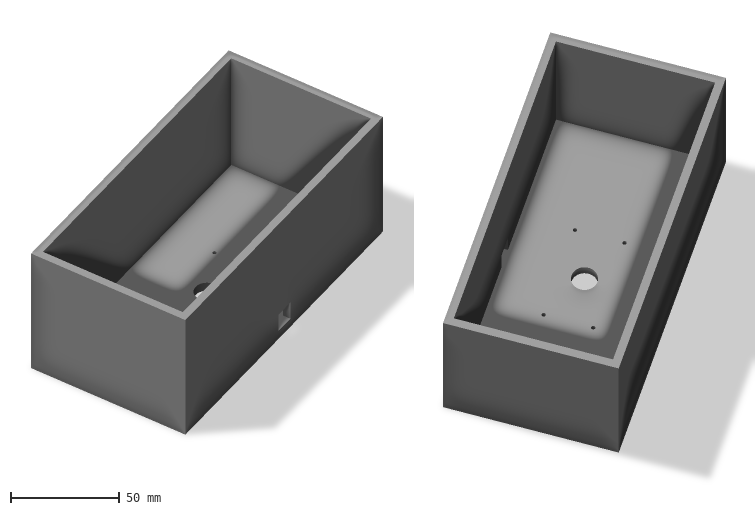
import cadquery as cq

width = 85.0
length = 168.0
height = 71.0
wall = 4.0
floor = 5.0

centre_hole_diameter = 12.5
screw_hole_diameter = 2.0
screw_spacing_x = 24.0
screw_spacing_y = 49.0
screw_pattern_offset = 0.15

opening_width = 10.0
opening_height = 10.0
opening_centre_y = 0.25


def make_box():
    """Box standing on Z = 0, centred in X and Y, hollowed from the top."""
    outside = cq.Workplane("XY").box(width, length, height, centered=(True, True, False))
    cavity = (
        cq.Workplane("XY", origin=(0, 0, floor))
        .rect(width - 2 * wall, length - 2 * wall)
        .extrude(height - floor)
    )
    return outside.cut(cavity)


def make_floor_holes():
    """Large centre hole and four screw holes, all through the floor."""
    centre_hole = cq.Workplane("XY").circle(centre_hole_diameter / 2).extrude(floor)
    screw_holes = (
        cq.Workplane("XY", origin=(screw_pattern_offset, screw_pattern_offset, 0))
        .rect(screw_spacing_x, screw_spacing_y, forConstruction=True)
        .vertices()
        .circle(screw_hole_diameter / 2)
        .extrude(floor)
    )
    return centre_hole.union(screw_holes)


def make_wall_opening():
    """Block that cuts the opening through the +X wall."""
    wall_centre_x = (width - wall) / 2
    return cq.Workplane("XY", origin=(wall_centre_x, opening_centre_y, floor)).box(
        wall, opening_width, opening_height, centered=(True, True, False)
    )


result = make_box().cut(make_floor_holes()).cut(make_wall_opening())